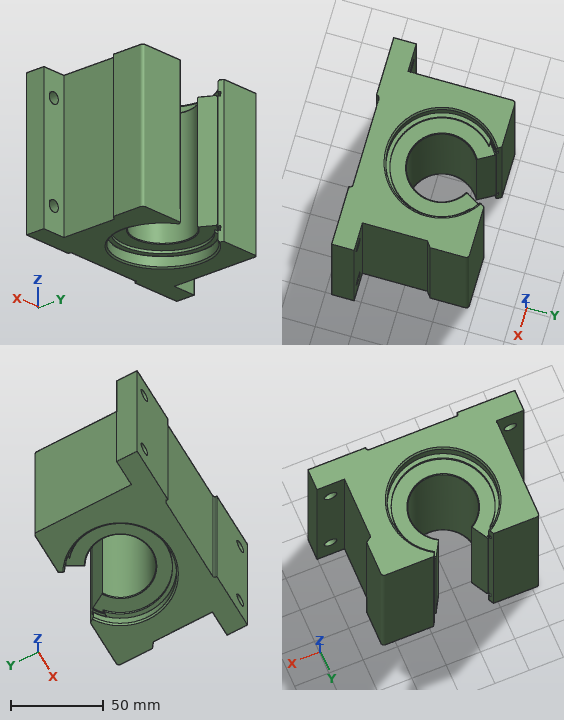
import cadquery as cq
import math

base_width = 120.6
height = 95.2
depth = 73.0
base_thickness = 12.7
body_half_width = 44.3
ledge_half_width = 47.5
ledge_bottom_y = 49.0
ledge_taper_y = 51.5
corner_fillet = 1.8
relief_half_width = 26.7
relief_depth = 1.8
relief_chamfer = 0.8

axis_y = 44.4
bore_radius = 30.2
bore_chamfer = 1.0
housing_slot_half_angle = 31.5

hole_diameter = 7.2
hole_spacing_x = 104.7
hole_spacing_z = 63.3

bearing_length = 76.3
bearing_radius = bore_radius
bearing_bore_radius = 19.1
bearing_outer_chamfer = 0.7
bearing_bore_chamfer = 0.5
bearing_slot_half_angle = 30.0

ring_inner_radius = 28.0
ring_outer_radius = 31.6
ring_thickness = 1.7
groove_width = 2.5
ring_end_height = 21.1

bearing_end_z = bearing_length / 2
ring_middle_z = bearing_end_z + ring_thickness / 2
groove_middle_z = bearing_end_z + groove_width / 2


def cylinder(radius, length, middle_z=0.0):
    """Cylinder on the bore axis, centred on middle_z."""
    return (
        cq.Workplane("XY", origin=(0, axis_y, middle_z - length / 2))
        .circle(radius)
        .extrude(length)
    )


def wedge(half_angle):
    """Triangular prism from the bore axis out through the open face (+Y)."""
    reach = depth
    half_width = reach * math.tan(math.radians(half_angle))
    return (
        cq.Workplane("XY", origin=(0, axis_y, -height / 2))
        .polyline([(0, 0), (half_width, reach), (-half_width, reach)])
        .close()
        .extrude(height)
    )


def housing_block():
    """Flanged block with the ledge on +X and the relief in the mounting face."""
    half_base = base_width / 2
    outline = [
        (-half_base, 0),
        (-relief_half_width, 0),
        (-relief_half_width, relief_depth - relief_chamfer),
        (-relief_half_width + relief_chamfer, relief_depth),
        (relief_half_width - relief_chamfer, relief_depth),
        (relief_half_width, relief_depth - relief_chamfer),
        (relief_half_width, 0),
        (half_base, 0),
        (half_base, base_thickness),
        (body_half_width, base_thickness),
        (body_half_width, ledge_bottom_y),
        (ledge_half_width, ledge_taper_y),
        (ledge_half_width, depth),
        (-body_half_width, depth),
        (-body_half_width, base_thickness),
        (-half_base, base_thickness),
    ]
    block = cq.Workplane("XY", origin=(0, 0, -height / 2)).polyline(outline).close().extrude(height)
    return block.edges("|Z and >Y").fillet(corner_fillet)


def bore_cutter():
    """Solid of revolution for the bore, flared at both mouths by the chamfers."""
    end_z = height / 2
    mouth_radius = bore_radius + bore_chamfer
    profile = [
        (0, -end_z),
        (mouth_radius, -end_z),
        (bore_radius, -end_z + bore_chamfer),
        (bore_radius, end_z - bore_chamfer),
        (mouth_radius, end_z),
        (0, end_z),
    ]
    return (
        cq.Workplane("XZ", origin=(0, axis_y, 0))
        .polyline(profile)
        .close()
        .revolve(360, (0, 0), (0, 1))
    )


def mounting_holes():
    """Four through holes in the flanges."""
    return (
        cq.Workplane("XZ")
        .rect(hole_spacing_x, hole_spacing_z, forConstruction=True)
        .vertices()
        .circle(hole_diameter / 2)
        .extrude(-base_thickness)
    )


def make_housing():
    body = housing_block().cut(bore_cutter())
    for side in (-1, 1):
        body = body.cut(cylinder(ring_outer_radius, groove_width, side * groove_middle_z))
    return body.cut(wedge(housing_slot_half_angle)).cut(mounting_holes())


def make_bearing():
    sleeve = cylinder(bearing_radius, bearing_length).faces("<Z or >Z").chamfer(bearing_outer_chamfer)
    bored = sleeve.cut(cylinder(bearing_bore_radius, bearing_length))
    bored = bored.edges(cq.selectors.RadiusNthSelector(0)).chamfer(bearing_bore_chamfer)
    return bored.cut(wedge(bearing_slot_half_angle))


def make_ring(side):
    middle_z = side * ring_middle_z
    ring = cylinder(ring_outer_radius, ring_thickness, middle_z)
    ring = ring.cut(cylinder(ring_inner_radius, ring_thickness, middle_z))
    gap = cq.Workplane("XY", origin=(0, axis_y + ring_end_height, middle_z)).box(
        2 * ring_outer_radius, ring_outer_radius, ring_thickness, centered=(True, False, True)
    )
    return ring.cut(gap)


housing = make_housing()
bearing = make_bearing()
rings = [make_ring(side) for side in (-1, 1)]

result = cq.Compound.makeCompound([housing.val(), bearing.val(), *[ring.val() for ring in rings]])